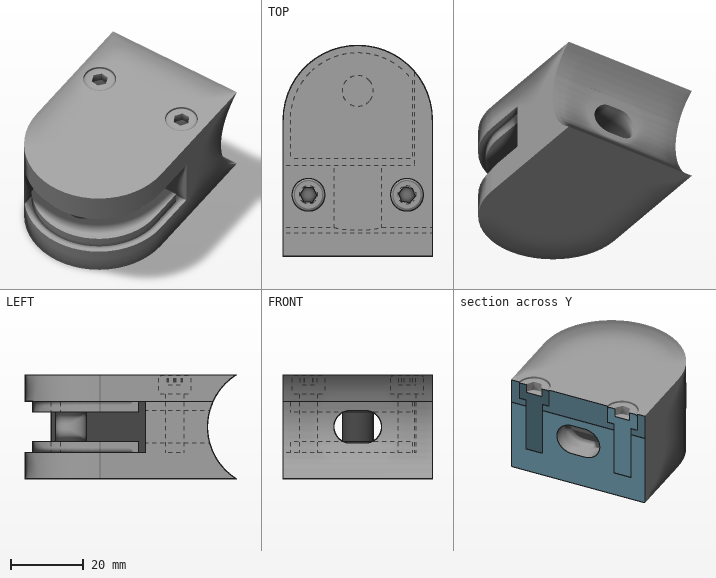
import cadquery as cq
import math

width = 41.0
height = 28.5
tip_radius = width / 2
tip_to_throat = 50.0
tube_radius = 16.85
mid_height = height / 2

glass_gap = 8.0
gasket_thickness = 3.0
slot_height = glass_gap + 2 * gasket_thickness
slot_depth = 33.0
side_wall = 5.0
gasket_inset = 2.0
gasket_wall_clearance = 0.5

arm_thickness = (height - slot_height) / 2
slot_top = height - arm_thickness
slot_end_y = tip_radius - slot_depth
wall_inner_x = width / 2 - side_wall

throat_y = tip_radius - tip_to_throat
tube_center_y = throat_y - tube_radius
back_y = tube_center_y + math.sqrt(tube_radius**2 - mid_height**2)

mount_hole_width = 13.0
mount_hole_height = 9.0

pin_diameter = 8.5
pin_y = 8.0

screw_spacing = 27.0
screw_from_throat = 9.0
screw_y = throat_y + screw_from_throat
head_diameter = 9.0
head_height = 5.0
head_recess = 0.25
head_top = height - head_recess
head_seat = head_top - head_height
head_fillet = 0.6
shank_diameter = 5.0
shank_length = 16.0
socket_across_flats = 4.0
socket_depth = 2.5
screws_at = [(-screw_spacing / 2, -3.0), (screw_spacing / 2, -10.0)]


def rounded_plate(left_x, right_x, end_y, radius, bottom_z, thickness):
    """Plate with a round tip about the origin, squared off at end_y and limited to left_x..right_x."""
    disc = cq.Workplane("XY").workplane(offset=bottom_z).circle(radius).extrude(thickness)
    block = (
        cq.Workplane("XY")
        .workplane(offset=bottom_z)
        .rect(2 * radius, end_y, centered=(True, False))
        .extrude(thickness)
    )
    window = (
        cq.Workplane("XY")
        .workplane(offset=bottom_z)
        .moveTo(left_x, end_y)
        .rect(right_x - left_x, radius - end_y, centered=False)
        .extrude(thickness)
    )
    return disc.union(block).intersect(window)


def clamp_plate(bottom_z, thickness):
    """Layer of the clamp outline with the tube saddle cut into its -Y end."""
    tube = (
        cq.Workplane("YZ")
        .center(tube_center_y, mid_height)
        .circle(tube_radius)
        .extrude(width / 2, both=True)
    )
    plate = rounded_plate(-width / 2, width / 2, back_y, tip_radius, bottom_z, thickness)
    return plate.cut(tube)


def cylinder(x, y, diameter, bottom_z, length):
    return cq.Workplane("XY", origin=(x, y, bottom_z)).circle(diameter / 2).extrude(length)


def screw_shape(x, head_length):
    """Plain head standing on its seat, with the shank below it."""
    head = cylinder(x, screw_y, head_diameter, head_seat, head_length)
    shank = cylinder(x, screw_y, shank_diameter, head_seat - shank_length, shank_length)
    return head.union(shank)


def screw_hole(x):
    """Counterbored hole reaching up to the top face."""
    return screw_shape(x, height - head_seat)


def make_base():
    base = clamp_plate(0, slot_top)
    slot = (
        cq.Workplane("XY")
        .workplane(offset=arm_thickness)
        .moveTo(-width / 2, slot_end_y)
        .rect(width / 2 + wall_inner_x, slot_depth, centered=False)
        .extrude(slot_height)
    )
    mount_hole = (
        cq.Workplane("XZ", origin=(0, slot_end_y, mid_height))
        .slot2D(mount_hole_width, mount_hole_height)
        .extrude(slot_end_y - back_y)
    )
    base = base.cut(slot).cut(mount_hole)
    for x, _ in screws_at:
        base = base.cut(screw_hole(x))
    return base


def make_cover():
    cover = clamp_plate(slot_top, arm_thickness)
    for x, _ in screws_at:
        cover = cover.cut(screw_hole(x))
    return cover


def make_gasket(bottom_z):
    """Soft pad set in from the clamp edge and the slot end, with a small gap to the side wall."""
    return rounded_plate(
        gasket_inset - width / 2,
        wall_inner_x - gasket_wall_clearance,
        slot_end_y + gasket_inset,
        tip_radius - gasket_inset,
        bottom_z,
        gasket_thickness,
    )


def make_pin():
    """Pin crossing the glass gap from gasket to gasket."""
    return cylinder(0, pin_y, pin_diameter, mid_height - glass_gap / 2, glass_gap)


def make_screw(x, socket_turn):
    socket_across_corners = socket_across_flats / math.cos(math.radians(30))
    socket = (
        cq.Workplane("XY")
        .workplane(offset=head_top - socket_depth)
        .polygon(6, socket_across_corners)
        .extrude(socket_depth)
        .rotate((0, 0, 0), (0, 0, 1), socket_turn)
        .translate((x, screw_y, 0))
    )
    return screw_shape(x, head_height).faces(">Z").edges().fillet(head_fillet).cut(socket)


base = make_base()
cover = make_cover()
gaskets = [make_gasket(z) for z in (arm_thickness, slot_top - gasket_thickness)]
pin = make_pin()
screws = [make_screw(x, turn) for x, turn in screws_at]

result = cq.Compound.makeCompound(
    [
        base.val(),
        cover.val(),
        *[gasket.val() for gasket in gaskets],
        pin.val(),
        *[screw.val() for screw in screws],
    ]
)